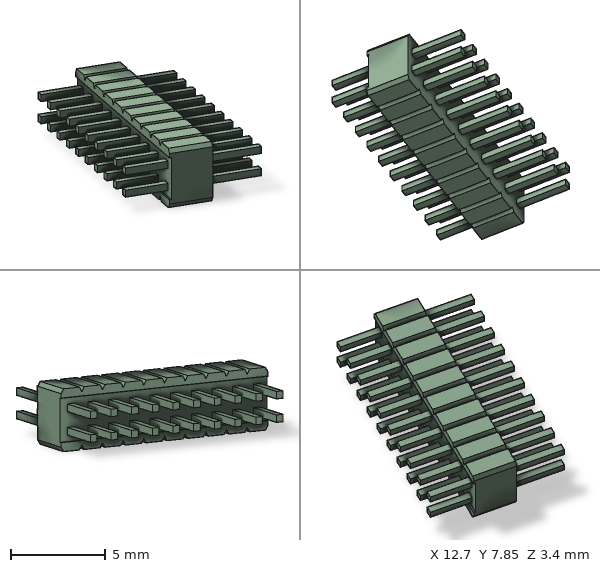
import cadquery as cq

PITCH = 1.27
COLUMNS = 10
ROWS = 2
PIN_WIDTH = 0.41
FRONT_PIN_LENGTH = 2.35
BACK_PIN_LENGTH = 3.0

BODY_LENGTH = COLUMNS * PITCH
BODY_DEPTH = 2.5
BODY_HEIGHT = 3.4

NOTCH_DEPTH = 0.25
NOTCH_HALF_WIDTH = 0.15

CHANNEL_HEIGHT = 2.4
CHANNEL_DEPTH = 0.1

FRONT_Y = -BODY_DEPTH / 2
BACK_Y = BODY_DEPTH / 2


def make_body():
    return cq.Workplane("XY").box(BODY_LENGTH, BODY_DEPTH, BODY_HEIGHT)


def make_notch(x, side):
    """V prism along Y at x, in the top (side = 1) or bottom (side = -1) face."""
    outer_z = side * BODY_HEIGHT / 2
    tip_z = outer_z - side * NOTCH_DEPTH
    return (
        cq.Workplane("XZ")
        .moveTo(x - NOTCH_HALF_WIDTH, outer_z)
        .lineTo(x + NOTCH_HALF_WIDTH, outer_z)
        .lineTo(x, tip_z)
        .close()
        .extrude(BODY_DEPTH / 2, both=True)
    )


def make_front_channel():
    return (
        cq.Workplane("XY")
        .box(BODY_LENGTH, CHANNEL_DEPTH, CHANNEL_HEIGHT)
        .translate((0, FRONT_Y + CHANNEL_DEPTH / 2, 0))
    )


def make_pins():
    """Square pins running through the body along Y."""
    return (
        cq.Workplane("XZ", origin=(0, BACK_Y + BACK_PIN_LENGTH, 0))
        .rarray(PITCH, PITCH, COLUMNS, ROWS)
        .rect(PIN_WIDTH, PIN_WIDTH)
        .extrude(BACK_PIN_LENGTH + BODY_DEPTH + FRONT_PIN_LENGTH)
    )


body = make_body().cut(make_front_channel())

for boundary in range(COLUMNS + 1):
    boundary_x = boundary * PITCH - BODY_LENGTH / 2
    for side in (1, -1):
        body = body.cut(make_notch(boundary_x, side))

result = body.union(make_pins())